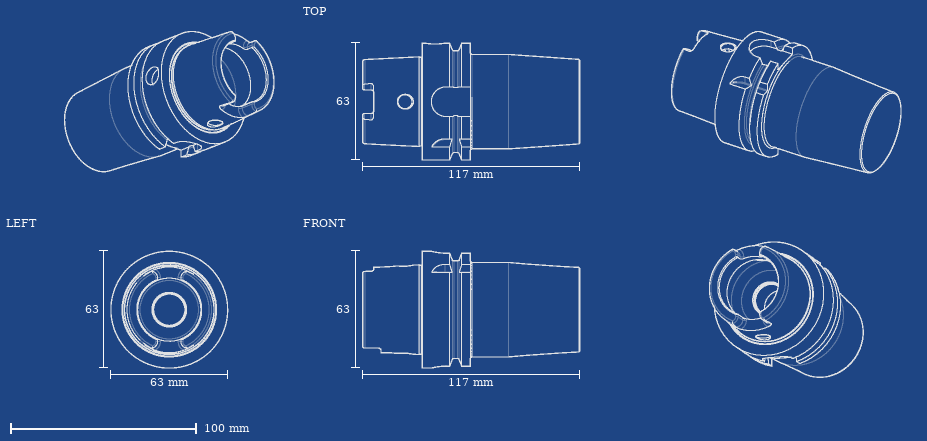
import cadquery as cq
import math


shank_length = 32.0
taper_end_x = -1.76
taper_end_radius = 24.2
taper_slope = 1 / 20
relief_radius = 24.0
relief_start_x = -1.06
undercut_start_x = -0.35
undercut_radius = 23.7
face_relief_depth = 0.35
face_relief_floor_radius = 25.0
face_relief_outer_radius = 25.5
tip_fillet = 1.3

flange_radius = 31.5
flange_length = 26.0
groove_center_x = 18.12
groove_top_half_width = 3.25
groove_floor_half_width = 1.55
groove_floor_radius = 27.45
groove_corner_fillet = 1.0

body_radius = 25.5
body_fillet = 1.0
body_end_x = 46.6
nose_end_x = 85.0
nose_end_radius = 22.8
nose_chamfer = 0.6

bore_radius = 17.0
bore_mouth_radius = 17.5
bore_mouth_depth = 0.9
bore_lip_depth = 13.0
recess_radius = 20.0
bore_floor_x = 0.0
bore_floor_radius = 15.75

center_hole_mouth_radius = 8.9
center_hole_mouth_depth = 2.0
center_hole_chamfer = 0.45
center_hole_radius = 8.4
center_hole_depth = 16.0

access_hole_x = -9.2
access_hole_radius = 3.75
access_hole_mouth_radius = 4.35

drive_slot_half_width = 6.27
drive_slot_flare_radius = 3.5
drive_slot_flare_height = 20.7
drive_slot_corner_fillet = 1.5
drive_slot_mouth_fillet = 1.0
upper_drive_slot_depth = 6.0
lower_drive_slot_depth = 9.9

keyway_radius = 8.0
keyway_center_x = 13.0
keyway_floor = 26.4

notch_center_x = 12.3
notch_wall = 20.0
notch_corner_fillet = 0.4

carrier_hole_x = 7.0
carrier_hole_radius = 5.0
carrier_hole_depth = 4.6

overcut = 5.0
countersink_overcut = 0.5


def outer_body():
    """Turned outside shape, without the groove."""
    tip_x = -shank_length
    tip_radius = taper_end_radius - taper_slope * (taper_end_x - tip_x)
    fillet_mid = body_fillet * (1 - math.sqrt(0.5))
    profile = (
        cq.Workplane("XY")
        .moveTo(tip_x, 0)
        .lineTo(tip_x, tip_radius)
        .lineTo(taper_end_x, taper_end_radius)
        .lineTo(relief_start_x, relief_radius)
        .lineTo(undercut_start_x, relief_radius)
        .lineTo(face_relief_depth, undercut_radius)
        .lineTo(face_relief_depth, face_relief_floor_radius)
        .lineTo(0, face_relief_outer_radius)
        .lineTo(0, flange_radius)
        .lineTo(flange_length, flange_radius)
        .lineTo(flange_length, body_radius + body_fillet)
        .threePointArc(
            (flange_length + fillet_mid, body_radius + fillet_mid),
            (flange_length + body_fillet, body_radius),
        )
        .lineTo(body_end_x, body_radius)
        .lineTo(nose_end_x, nose_end_radius)
        .lineTo(nose_end_x, 0)
        .close()
    )
    body = profile.revolve(360, (0, 0, 0), (1, 0, 0))
    body = body.faces(">X").edges().chamfer(nose_chamfer)
    return body.faces("<X").edges().fillet(tip_fillet)


def gripper_groove():
    """Ring with sloped flanks and rounded floor corners."""
    flank_run = groove_top_half_width - groove_floor_half_width
    flank_slope = flank_run / (flange_radius - groove_floor_radius)
    outer_radius = flange_radius + overcut
    outer_half_width = groove_top_half_width + flank_slope * overcut
    ring = (
        cq.Workplane("XY")
        .moveTo(groove_center_x - outer_half_width, outer_radius)
        .lineTo(groove_center_x - groove_floor_half_width, groove_floor_radius)
        .lineTo(groove_center_x + groove_floor_half_width, groove_floor_radius)
        .lineTo(groove_center_x + outer_half_width, outer_radius)
        .close()
        .revolve(360, (0, 0, 0), (1, 0, 0))
    )
    floor_edges = ring.edges(cq.selectors.RadiusNthSelector(0))
    return floor_edges.fillet(groove_corner_fillet)


def clamping_bore():
    """Shank bore with an undercut behind its lip, and the blind hole in its floor."""
    tip_x = -shank_length
    lip_end_x = tip_x + bore_lip_depth
    corner_radius = recess_radius - bore_floor_radius
    corner_start_x = bore_floor_x - corner_radius
    corner_mid_x = corner_start_x + corner_radius * math.sqrt(0.5)
    corner_mid_radius = bore_floor_radius + corner_radius * math.sqrt(0.5)
    return (
        cq.Workplane("XY")
        .moveTo(tip_x, 0)
        .lineTo(tip_x, bore_mouth_radius)
        .lineTo(tip_x + bore_mouth_depth, bore_radius)
        .lineTo(lip_end_x, bore_radius)
        .lineTo(lip_end_x, recess_radius)
        .lineTo(corner_start_x, recess_radius)
        .threePointArc((corner_mid_x, corner_mid_radius), (bore_floor_x, bore_floor_radius))
        .lineTo(bore_floor_x, center_hole_mouth_radius + center_hole_chamfer)
        .lineTo(bore_floor_x + center_hole_chamfer, center_hole_mouth_radius)
        .lineTo(bore_floor_x + center_hole_mouth_depth, center_hole_mouth_radius)
        .lineTo(bore_floor_x + center_hole_mouth_depth, center_hole_radius)
        .lineTo(bore_floor_x + center_hole_depth, center_hole_radius)
        .lineTo(bore_floor_x + center_hole_depth, 0)
        .close()
        .revolve(360, (0, 0, 0), (1, 0, 0))
    )


def drive_slot(depth):
    """Cutter for the +Z drive slot: flared walls, rounded at the slot's end and at the tip face."""
    tip_x = -shank_length
    flare_start = drive_slot_flare_height - drive_slot_flare_radius
    flare_half_width = drive_slot_half_width + drive_slot_flare_radius
    arc_mid = drive_slot_flare_radius * (1 - math.sqrt(0.5))
    mid_y = drive_slot_half_width + arc_mid
    mid_z = drive_slot_flare_height - arc_mid
    outer_half_width = flare_half_width + overcut
    top = drive_slot_flare_height + overcut
    section = (
        cq.Workplane("YZ", origin=(tip_x, 0, 0))
        .moveTo(-drive_slot_half_width, 0)
        .lineTo(drive_slot_half_width, 0)
        .lineTo(drive_slot_half_width, flare_start)
        .threePointArc((mid_y, mid_z), (flare_half_width, drive_slot_flare_height))
        .lineTo(outer_half_width, drive_slot_flare_height)
        .lineTo(outer_half_width, top)
        .lineTo(-outer_half_width, top)
        .lineTo(-outer_half_width, drive_slot_flare_height)
        .lineTo(-flare_half_width, drive_slot_flare_height)
        .threePointArc((-mid_y, mid_z), (-drive_slot_half_width, flare_start))
        .close()
    )
    slot = section.extrude(depth)
    slot = slot.faces(">X").edges().fillet(drive_slot_corner_fillet)

    plate = (
        cq.Workplane("YZ", origin=(tip_x, 0, 0))
        .rect(4 * outer_half_width, 4 * top)
        .extrude(-overcut)
    )
    cutter = plate.union(slot)
    mouth = cutter.faces("+X").faces("<X").val().innerWires()[0]
    return cutter.newObject(mouth.Edges()).fillet(drive_slot_mouth_fillet)


def access_hole():
    """Cutter for the +Z access hole with its countersunk mouth."""
    shank_radius = taper_end_radius - taper_slope * (taper_end_x - access_hole_x)
    sink_depth = access_hole_mouth_radius - access_hole_radius
    hole = (
        cq.Workplane("XY", origin=(access_hole_x, 0, 0))
        .circle(access_hole_radius)
        .extrude(flange_radius)
    )
    countersink = cq.Solid.makeCone(
        access_hole_radius,
        access_hole_mouth_radius + countersink_overcut,
        sink_depth + countersink_overcut,
        pnt=cq.Vector(access_hole_x, 0, shank_radius - sink_depth),
        dir=cq.Vector(0, 0, 1),
    )
    return hole.union(cq.Workplane(countersink))


def round_ended_slot(center_x, center_y, floor_z):
    """Slot along X, open towards +X and +Z, with a round end towards -X."""
    height = flange_radius + overcut - floor_z
    near_y = center_y - keyway_radius
    far_y = center_y + keyway_radius
    return (
        cq.Workplane("XY", origin=(0, 0, floor_z))
        .moveTo(flange_length, near_y)
        .lineTo(flange_length, far_y)
        .lineTo(center_x, far_y)
        .threePointArc((center_x - keyway_radius, center_y), (center_x, near_y))
        .close()
        .extrude(height)
    )


def orientation_notch():
    """Cutter for the -Y +Z notch: two square walls with a rounded corner between them."""
    slot = round_ended_slot(notch_center_x, -notch_wall - keyway_radius, notch_wall)
    return slot.faces("<Z").edges("not >X").fillet(notch_corner_fillet)


def carrier_hole():
    """Cutter for the blind round hole in the +Y side of the flange."""
    floor_y = flange_radius - carrier_hole_depth
    return (
        cq.Workplane("XZ", origin=(carrier_hole_x, floor_y, 0))
        .circle(carrier_hole_radius)
        .extrude(-(carrier_hole_depth + overcut))
    )


def turned_to_bottom(cutter):
    """The same cutter turned half round the part's axis."""
    return cutter.rotate((0, 0, 0), (1, 0, 0), 180)


result = outer_body().cut(gripper_groove()).cut(clamping_bore())

result = result.cut(drive_slot(upper_drive_slot_depth))
result = result.cut(turned_to_bottom(drive_slot(lower_drive_slot_depth)))

result = result.cut(access_hole()).cut(turned_to_bottom(access_hole()))

keyway = round_ended_slot(keyway_center_x, 0, keyway_floor)
result = result.cut(keyway).cut(turned_to_bottom(keyway)).cut(orientation_notch())
result = result.cut(carrier_hole())